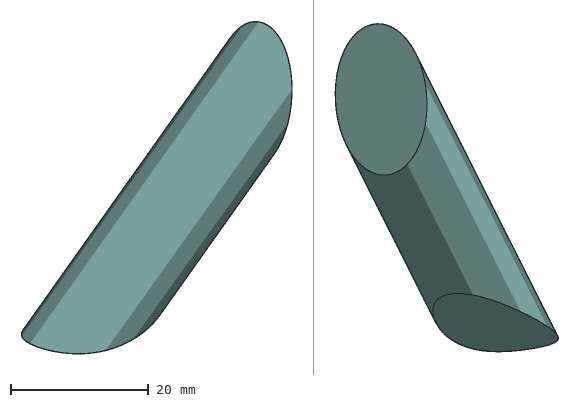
import cadquery as cq
import math

rod_diameter = 15.0
rod_slope = 35.0
length_y = 49.2
end_lean = 12.6
saddle_radius = 24.0

slope = math.radians(rod_slope)
rod_radius = rod_diameter / 2
tip_height = length_y * math.tan(slope)
stock_length = 3 * length_y
axis_direction = cq.Vector(0, math.cos(slope), math.sin(slope))
axis_offset = cq.Vector(0, math.sin(slope), -math.cos(slope)) * rod_radius


def sloping_rod():
    """Over-long round bar whose upper edge line passes through the low tip."""
    start = axis_offset - axis_direction * length_y
    return cq.Workplane(cq.Solid.makeCylinder(rod_radius, stock_length, start, axis_direction))


def upper_end_waste():
    """Block beyond the leaning flat face through the high tip."""
    return (
        cq.Workplane("XY")
        .box(stock_length, stock_length, stock_length, centered=(True, False, True))
        .rotate((0, 0, 0), (1, 0, 0), -end_lean)
        .translate((0, length_y, tip_height))
    )


def lower_end_waste():
    """Saddle pipe along Y, joined to everything below its axis."""
    pipe = cq.Workplane(
        cq.Solid.makeCylinder(
            saddle_radius,
            stock_length,
            cq.Vector(0, -stock_length / 2, -saddle_radius),
            cq.Vector(0, 1, 0),
        )
    )
    below = (
        cq.Workplane("XY", origin=(0, 0, -saddle_radius))
        .box(2 * saddle_radius, stock_length, stock_length, centered=(True, True, False))
        .translate((0, 0, -stock_length))
    )
    return pipe.union(below)


result = sloping_rod().cut(upper_end_waste()).cut(lower_end_waste())